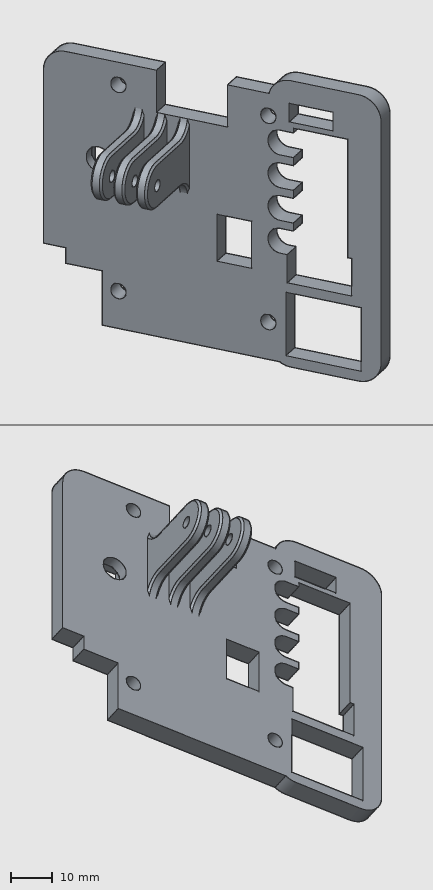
import cadquery as cq
import math

plate_thickness = 5.0
plate_width = 90.0
corner_radius = 6.0
tall_panel_height = 76.4
tall_panel_left = 59.9
main_bottom = 0.8
main_top = 71.8

outer_step_x = 5.9
outer_step_z = 19.4
inner_step_x = 15.7
inner_step_z = 15.3

notch_left = 30.15
notch_right = 49.05

screw_hole_diameter = 4.05
screw_hole_left = 20.0
screw_hole_bottom = 10.8
screw_spacing_x = 40.0
screw_spacing_z = 55.0
cable_hole_diameter = 6.5
cable_hole_x = 14.7
cable_hole_z = 44.9
cable_pocket_side = cable_hole_diameter
cable_pocket_depth = 2.0

chip_window = (46.3, 55.4, 24.2, 36.7)
top_slot_window = (65.5, 77.1, 65.3, 70.3)
port_window = (64.6, 84.7, 2.8, 19.7)

bay_upper = (66.6, 81.1, 22.3, 63.9)
bay_lower_left = 65.0
bay_lower_right = 82.2
bay_lower_step_z = 32.3
finger_slot_count = 4
finger_slot_height = 6.6
finger_slot_pitch = 8.7
finger_slot_left = 59.85
lowest_finger_slot_z = 33.1

fin_count = 3
fin_thickness = 3.0
fin_pitch = 6.0
first_fin_x = 25.4
fin_center_z = 50.6
fin_length = 23.9
fin_end_radius = 6.0
fin_root_length = 4.95
fin_root_flare = 4.0
fin_chamfer = 0.5
fin_hole_diameter = 3.0

fin_root_half_height = fin_end_radius + fin_root_flare
notch_bottom = fin_center_z + fin_root_half_height


def block(left, right, bottom, top):
    """Box as deep as the plate, spanning the given X and Z limits."""
    return cq.Workplane("XY").box(
        right - left, plate_thickness, top - bottom, centered=False
    ).translate((left, 0, bottom))


def round_bar(x, z, diameter):
    """Cylinder as deep as the plate, with its axis along Y."""
    return (
        cq.Workplane("XZ").center(x, z).circle(diameter / 2).extrude(-plate_thickness)
    )


def make_panels():
    main_panel = (
        block(0, plate_width - corner_radius, main_bottom, main_top)
        .edges("|Y and <X and >Z")
        .fillet(corner_radius)
    )
    tall_panel = (
        block(tall_panel_left, plate_width, 0, tall_panel_height)
        .edges("|Y")
        .fillet(corner_radius)
    )
    return (
        main_panel.union(tall_panel)
        .cut(block(0, outer_step_x, 0, outer_step_z))
        .cut(block(0, inner_step_x, 0, inner_step_z))
        .cut(block(notch_left, notch_right, notch_bottom, main_top))
    )


def make_round_holes():
    holes = round_bar(cable_hole_x, cable_hole_z, cable_hole_diameter)
    for x in (screw_hole_left, screw_hole_left + screw_spacing_x):
        for z in (screw_hole_bottom, screw_hole_bottom + screw_spacing_z):
            holes = holes.union(round_bar(x, z, screw_hole_diameter))
    return holes


def make_cable_pocket():
    half_side = cable_pocket_side / 2
    return block(
        cable_hole_x - half_side,
        cable_hole_x + half_side,
        cable_hole_z - half_side,
        cable_hole_z + half_side,
    ).translate((0, plate_thickness - cable_pocket_depth, 0))


def make_connector_bay():
    bay_left, _, bay_bottom, _ = bay_upper
    bay = block(*bay_upper)
    bay = bay.union(block(bay_lower_left, bay_left, bay_bottom, lowest_finger_slot_z))
    bay = bay.union(block(bay_left, bay_lower_right, bay_bottom, bay_lower_step_z))
    slot_radius = finger_slot_height / 2
    round_center_x = finger_slot_left + slot_radius
    for index in range(finger_slot_count):
        z = lowest_finger_slot_z + index * finger_slot_pitch
        bay = bay.union(round_bar(round_center_x, z, finger_slot_height))
        bay = bay.union(block(round_center_x, bay_left, z - slot_radius, z + slot_radius))
    return bay


def make_fin(center_x):
    """Round-ended fin with flared root and chamfered rim, pierced by a pivot hole."""
    pivot_y = -(fin_length - fin_end_radius)
    flare_radius = (fin_root_length**2 + fin_root_flare**2) / (2 * fin_root_flare)
    half_sweep = math.asin(fin_root_length / flare_radius) / 2
    flare_mid_y = -fin_root_length + flare_radius * math.sin(half_sweep)
    flare_mid_z = fin_end_radius + flare_radius * (1 - math.cos(half_sweep))
    fin = (
        cq.Workplane("YZ")
        .moveTo(0, -fin_root_half_height)
        .threePointArc((flare_mid_y, -flare_mid_z), (-fin_root_length, -fin_end_radius))
        .lineTo(pivot_y, -fin_end_radius)
        .threePointArc((-fin_length, 0), (pivot_y, fin_end_radius))
        .lineTo(-fin_root_length, fin_end_radius)
        .threePointArc((flare_mid_y, flare_mid_z), (0, fin_root_half_height))
        .close()
        .extrude(fin_thickness / 2, both=True)
        .faces("<X or >X")
        .edges("not >Y")
        .chamfer(fin_chamfer)
    )
    pivot_hole = (
        cq.Workplane("YZ")
        .center(pivot_y, 0)
        .circle(fin_hole_diameter / 2)
        .extrude(fin_thickness, both=True)
    )
    return fin.cut(pivot_hole).translate((center_x, 0, fin_center_z))


result = make_panels().cut(make_round_holes()).cut(make_cable_pocket()).cut(make_connector_bay())
for window in (chip_window, top_slot_window, port_window):
    result = result.cut(block(*window))
for fin_index in range(fin_count):
    result = result.union(make_fin(first_fin_x + fin_index * fin_pitch))